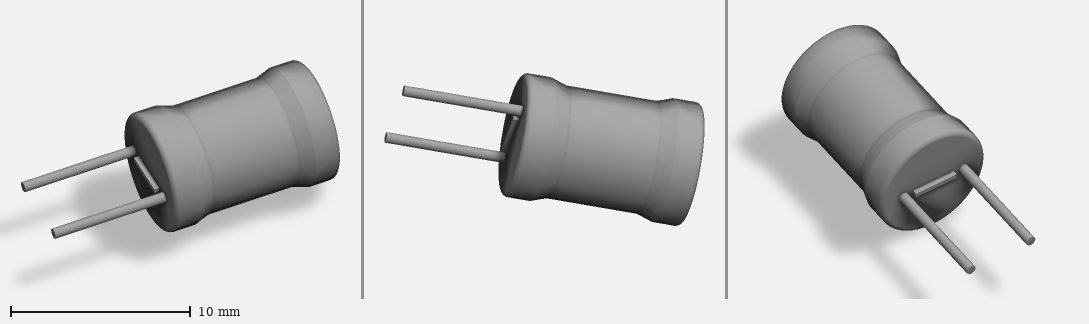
import cadquery as cq

sleeve_length = 10.2
flange_diameter = 7.0
waist_diameter = 6.4
flange_length = 1.58
taper_length = 0.92
edge_radius = 0.3

overall_length = 17.0
lead_length = overall_length - sleeve_length
lead_diameter = 0.6
lead_pitch = 4.0

tab_width = 2.72
tab_thickness = 0.29
tab_height = 0.3


def make_sleeve():
    """Revolve the half outline (radius, Y) about the Y axis and round both rims."""
    flange_radius = flange_diameter / 2
    waist_radius = waist_diameter / 2
    taper_end = flange_length + taper_length
    return (
        cq.Workplane("XY")
        .moveTo(0, 0)
        .lineTo(flange_radius, 0)
        .lineTo(flange_radius, flange_length)
        .lineTo(waist_radius, taper_end)
        .lineTo(waist_radius, sleeve_length - taper_end)
        .lineTo(flange_radius, sleeve_length - flange_length)
        .lineTo(flange_radius, sleeve_length)
        .lineTo(0, sleeve_length)
        .close()
        .revolve(360, (0, 0, 0), (0, 1, 0))
        .faces("<Y or >Y")
        .edges()
        .fillet(edge_radius)
    )


def make_lead(x):
    """Round wire standing on the lead-side face; the XZ plane's normal is -Y."""
    return cq.Workplane("XZ").center(x, 0).circle(lead_diameter / 2).extrude(lead_length)


def make_tab():
    """Flat bar centred between the leads."""
    return cq.Workplane("XZ").rect(tab_width, tab_thickness).extrude(tab_height)


sleeve = make_sleeve()
tab = make_tab()
leads = [make_lead(side * lead_pitch / 2) for side in (-1, 1)]

result = cq.Compound.makeCompound([sleeve.val(), tab.val(), *[lead.val() for lead in leads]])